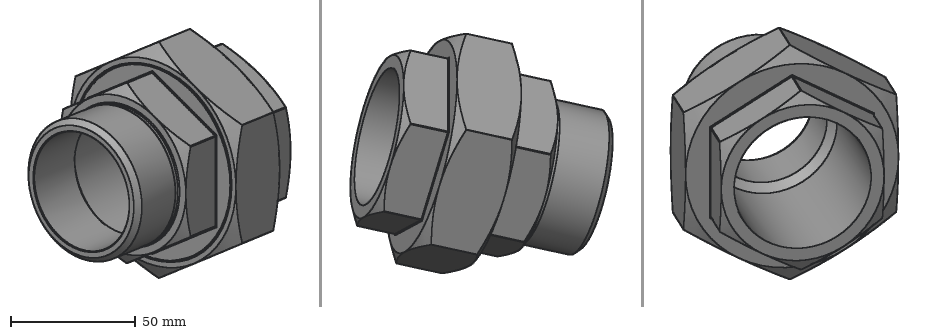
import cadquery as cq
import math


tip_chamfer_end = 2.3
thread_end = 23.3
neck_end = 25.0
tail_hex_front = 25.5
flange_face = 44.4
nut_front = 44.5
nut_back = 71.8
head_back = 91.0

nut_flats = 88.0
nut_corner_diameter = 101.5
body_flats = 67.3
body_corner_diameter = 77.5
hex_chamfer_angle = 30
foot_size = 0.4

tip_diameter = 55.4
thread_diameter = 60.0
neck_diameter = 59.8
shoulder_diameter = 60.8

flange_diameter = 82.0
nut_bore = 82.7
nut_bore_mouth = 83.5
nut_gap_depth = 1.0

bore_mouth = 50.8
male_bore = 50.0
female_bore = 56.6
cone_length = 3.8


def revolve_profile(points):
    """Solid of revolution about Y from (radius, y) points."""
    return cq.Workplane("XY").polyline(points).close().revolve(360, (0, 0), (0, 1))


def hex_outline(flats, y):
    """Hexagon at the given y with two corners in the plane x = 0."""
    corner_radius = flats / math.sqrt(3)
    angles = [math.radians(30 + 60 * i) for i in range(6)]
    corners = [(corner_radius * math.cos(a), corner_radius * math.sin(a)) for a in angles]
    return cq.Workplane("XZ", origin=(0, y, 0)).polyline(corners).close()


def turned_hex(flats, corner_diameter, start, end, chamfer_start=False, chamfer_end=False):
    """Hexagonal prism from start to end, with conical corner chamfers at the chosen ends."""
    flat_radius = flats / 2
    corner_radius = corner_diameter / 2
    drop = (corner_radius - flat_radius) * math.tan(math.radians(hex_chamfer_angle))
    envelope = [(0, start)]
    if chamfer_start:
        envelope += [(flat_radius, start), (corner_radius, start + drop)]
    else:
        envelope.append((corner_radius, start))
    if chamfer_end:
        envelope += [(corner_radius, end - drop), (flat_radius, end)]
    else:
        envelope.append((corner_radius, end))
    envelope.append((0, end))
    prism = hex_outline(flats, start).extrude(start - end)
    return prism.intersect(revolve_profile(envelope))


def flared_foot(face_y, top_y):
    """Small 45 degree flare at the root of a body hexagon, widest at face_y."""
    wide = hex_outline(body_flats + 2 * foot_size, face_y).wires().val()
    narrow = hex_outline(body_flats, top_y).wires().val()
    return cq.Workplane(cq.Solid.makeLoft([wide, narrow], True))


nut = turned_hex(nut_flats, nut_corner_diameter, nut_front, nut_back, True, True)
gap_floor = nut_front + nut_gap_depth
nut_recess = revolve_profile([
    (0, nut_front),
    (nut_bore_mouth / 2, nut_front),
    (nut_bore / 2, nut_front + (nut_bore_mouth - nut_bore) / 2),
    (nut_bore / 2, gap_floor),
    (0, gap_floor),
])
flange = revolve_profile([
    (0, flange_face),
    (flange_diameter / 2, flange_face),
    (flange_diameter / 2, gap_floor),
    (0, gap_floor),
])

tail_hex = turned_hex(body_flats, body_corner_diameter, tail_hex_front, flange_face, chamfer_start=True)
head_hex = turned_hex(body_flats, body_corner_diameter, nut_back, head_back, chamfer_end=True)
tail_foot = flared_foot(flange_face, flange_face - foot_size)
head_foot = flared_foot(nut_back, nut_back + foot_size)

male_end = revolve_profile([
    (0, 0),
    (tip_diameter / 2, 0),
    (thread_diameter / 2, tip_chamfer_end),
    (thread_diameter / 2, thread_end),
    (neck_diameter / 2, thread_end),
    (neck_diameter / 2, neck_end),
    (shoulder_diameter / 2, tail_hex_front),
    (0, tail_hex_front),
])

bore = revolve_profile([
    (0, 0),
    (bore_mouth / 2, 0),
    (male_bore / 2, (bore_mouth - male_bore) / 2),
    (male_bore / 2, tail_hex_front),
    (female_bore / 2, tail_hex_front + cone_length),
    (female_bore / 2, head_back),
    (0, head_back),
])

result = (
    nut.cut(nut_recess)
    .union(flange)
    .union(tail_hex)
    .union(tail_foot)
    .union(head_hex)
    .union(head_foot)
    .union(male_end)
    .cut(bore)
)